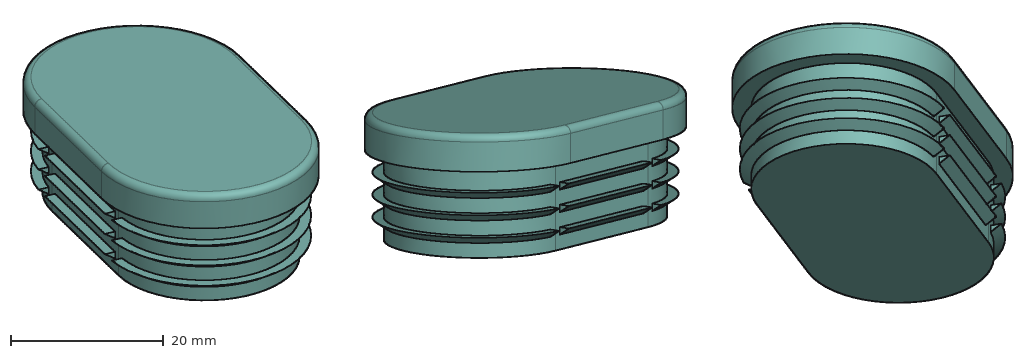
import cadquery as cq

cap_length = 50
cap_width = 30
cap_height = 5
cap_edge_radius = 1

plug_inset = 2.5
plug_length = cap_length - 2 * plug_inset
plug_width = cap_width - 2 * plug_inset
plug_height = 12

fin_reach = 1.5
fin_height = 1
fin_pitch = 3
fin_count = 3
fin_gap = 2

straight_length = cap_length - cap_width


def make_plug():
    return cq.Workplane("XY").slot2D(plug_length, plug_width).extrude(plug_height)


def make_cap():
    cap = (
        cq.Workplane("XY")
        .workplane(offset=plug_height)
        .slot2D(cap_length, cap_width)
        .extrude(cap_height)
    )
    return cap.faces(">Z").edges().fillet(cap_edge_radius)


def fin_profile(plane, root, embed):
    """Fin cross-section, with its tip pointing outward and its back sunk into the plug."""
    return (
        cq.Workplane(plane)
        .moveTo(root - embed, 0)
        .lineTo(root, 0)
        .lineTo(root + fin_reach, fin_height)
        .lineTo(root - embed, fin_height)
        .close()
    )


def make_fin_ring():
    """One level of fins: a bar on each straight side and an arc around each end."""
    embed = 0.5
    plug_radius = plug_width / 2
    half_gap = fin_gap / 2
    bar_length = straight_length - fin_gap
    bar = fin_profile("YZ", plug_radius, embed).extrude(bar_length / 2, both=True)

    disc = fin_profile("XZ", plug_radius, embed).revolve(360, (0, 0, 0), (0, 1, 0))
    keep_size = 2 * cap_width
    keep = cq.Workplane("XY").box(keep_size, keep_size, keep_size).translate(
        (keep_size / 2 + half_gap, 0, 0)
    )
    arc = disc.intersect(keep).translate((straight_length / 2, 0, 0))

    ring = bar.union(bar.mirror("XZ"))
    return ring.union(arc).union(arc.mirror("YZ"))


result = make_plug().union(make_cap())
fin_ring = make_fin_ring()
lowest_fin = fin_pitch - fin_height
for level in range(fin_count):
    result = result.union(fin_ring.translate((0, 0, lowest_fin + level * fin_pitch)))